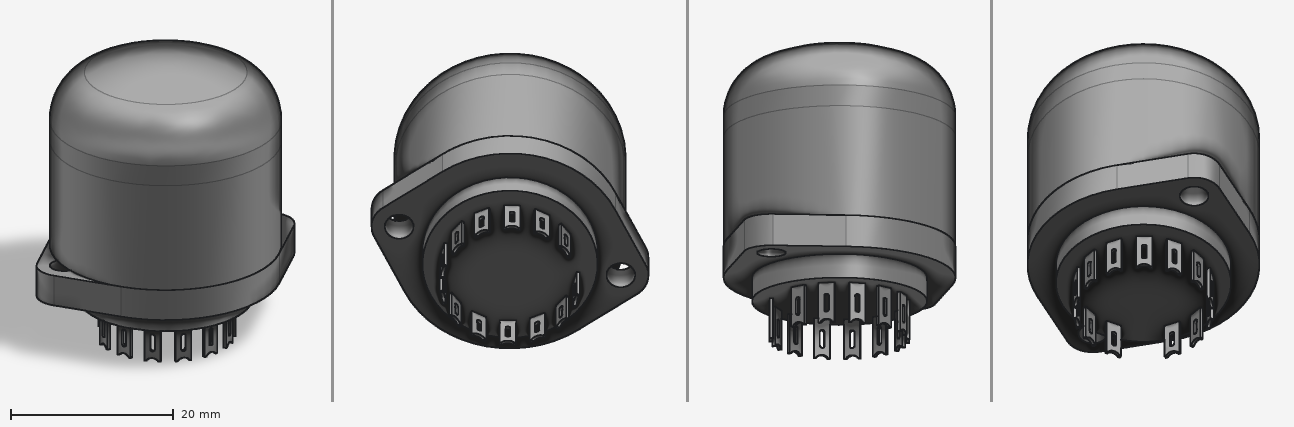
import cadquery as cq
import math

skirt_bottom = 5.0
flange_bottom = 8.0
flange_top = 12.0
barrel_top = 26.0
bulb_top = 37.03

bulb_radius = 28.5 / 2
crown_radius = 26.0
shoulder_radius = 6.92

flange_length = 34.95
ear_radius = 3.4
ear_offset = flange_length / 2 - ear_radius
mount_hole_diameter = 3.5
skirt_diameter = 21.5

pin_positions = 14
pin_pitch = 360.0 / pin_positions
first_pin_angle = -90.0
empty_position = pin_positions - 1
pin_circle_radius = 8.4
pin_width = 2.0
pin_thickness = 0.4
pin_slot_width = 0.6
pin_slot_bottom = 1.3
pin_slot_top = 3.6
pin_notch_radius = 0.9
pin_notch_depth = 0.4


def make_bulb():
    """Revolved glass bulb: straight barrel, rounded shoulder, shallow spherical crown."""
    shoulder_x = bulb_radius - shoulder_radius
    crown_z = bulb_top - crown_radius
    shoulder_z = crown_z + math.sqrt((crown_radius - shoulder_radius) ** 2 - shoulder_x ** 2)

    join_angle = math.atan2(shoulder_x, shoulder_z - crown_z)
    crown_mid_angle = join_angle / 2
    shoulder_mid_angle = (join_angle + math.pi / 2) / 2

    join_point = (crown_radius * math.sin(join_angle), crown_z + crown_radius * math.cos(join_angle))
    crown_mid = (
        crown_radius * math.sin(crown_mid_angle),
        crown_z + crown_radius * math.cos(crown_mid_angle),
    )
    shoulder_mid = (
        shoulder_x + shoulder_radius * math.sin(shoulder_mid_angle),
        shoulder_z + shoulder_radius * math.cos(shoulder_mid_angle),
    )

    return (
        cq.Workplane("XZ")
        .moveTo(0, flange_top)
        .lineTo(bulb_radius, flange_top)
        .lineTo(bulb_radius, barrel_top)
        .lineTo(bulb_radius, shoulder_z)
        .threePointArc(shoulder_mid, join_point)
        .threePointArc(crown_mid, (0, bulb_top))
        .close()
        .revolve(360, (0, 0), (0, 1), clean=False)
    )


def make_flange():
    """Oval flange: a round middle joined by tangent lines to a rounded ear at +Y and at -Y."""
    tangent_angle = math.acos((bulb_radius - ear_radius) / ear_offset)
    tangent_sin = math.sin(tangent_angle)
    tangent_cos = math.cos(tangent_angle)
    body_x = bulb_radius * tangent_sin
    body_y = bulb_radius * tangent_cos
    ear_x = ear_radius * tangent_sin
    ear_y = ear_offset + ear_radius * tangent_cos
    ear_tip = flange_length / 2

    return (
        cq.Workplane("XY", origin=(0, 0, flange_bottom))
        .moveTo(body_x, -body_y)
        .threePointArc((bulb_radius, 0), (body_x, body_y))
        .lineTo(ear_x, ear_y)
        .threePointArc((0, ear_tip), (-ear_x, ear_y))
        .lineTo(-body_x, body_y)
        .threePointArc((-bulb_radius, 0), (-body_x, -body_y))
        .lineTo(-ear_x, -ear_y)
        .threePointArc((0, -ear_tip), (ear_x, -ear_y))
        .close()
        .extrude(flange_top - flange_bottom)
        .pushPoints([(0, ear_offset), (0, -ear_offset)])
        .circle(mount_hole_diameter / 2)
        .cutThruAll()
    )


def make_pin(angle):
    """Flat solder pin with a slot and a notched tip, its broad face square to the radius."""
    blade = (
        cq.Workplane("XY")
        .center(pin_circle_radius, 0)
        .rect(pin_thickness, pin_width)
        .extrude(skirt_bottom)
    )
    slot = (
        cq.Workplane("YZ")
        .center(0, (pin_slot_bottom + pin_slot_top) / 2)
        .slot2D(pin_slot_top - pin_slot_bottom, pin_slot_width, 90)
        .extrude(2 * pin_circle_radius)
    )
    notch = (
        cq.Workplane("YZ")
        .center(0, pin_notch_depth - pin_notch_radius)
        .circle(pin_notch_radius)
        .extrude(2 * pin_circle_radius)
    )
    return blade.cut(slot).cut(notch).rotate((0, 0, 0), (0, 0, 1), angle)


def make_socket():
    """Flanged socket with its round skirt and the ring of pins below it."""
    skirt = (
        cq.Workplane("XY", origin=(0, 0, skirt_bottom))
        .circle(skirt_diameter / 2)
        .extrude(flange_bottom - skirt_bottom)
    )
    socket = make_flange().union(skirt)
    for position in range(pin_positions):
        if position != empty_position:
            socket = socket.union(make_pin(first_pin_angle + position * pin_pitch))
    return socket


bulb = make_bulb()
socket = make_socket()

result = cq.Compound.makeCompound([bulb.val(), *socket.vals()])